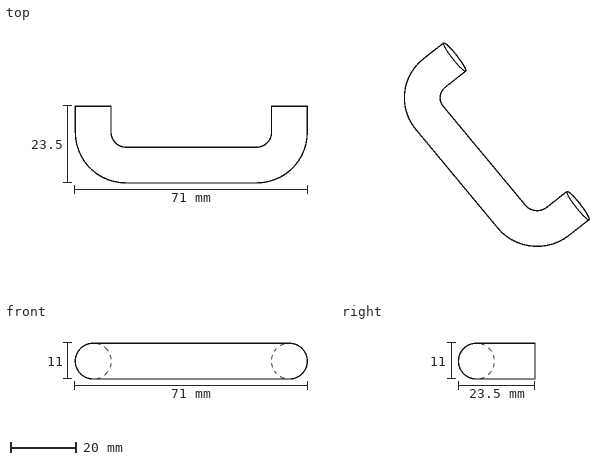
import cadquery as cq
import math

overall_length = 71.0
rod_diameter = 11.0
overall_depth = 23.5
bend_radius = 10.0

rod_radius = rod_diameter / 2
leg_x = overall_length / 2 - rod_radius
grip_end_x = leg_x - bend_radius
grip_y = rod_radius - overall_depth
bend_start_y = grip_y + bend_radius
diagonal_offset = bend_radius * math.cos(math.radians(45))


def make_handle():
    """Round rod bent into a U, with both legs ending on the plane Y = 0."""
    centreline = (
        cq.Workplane("XY")
        .moveTo(-leg_x, 0)
        .lineTo(-leg_x, bend_start_y)
        .threePointArc(
            (-grip_end_x - diagonal_offset, bend_start_y - diagonal_offset),
            (-grip_end_x, grip_y),
        )
        .lineTo(grip_end_x, grip_y)
        .threePointArc(
            (grip_end_x + diagonal_offset, bend_start_y - diagonal_offset),
            (leg_x, bend_start_y),
        )
        .lineTo(leg_x, 0)
    )
    return cq.Workplane("XZ", origin=(-leg_x, 0, 0)).circle(rod_radius).sweep(centreline)


handle = make_handle()

result = cq.Compound.makeCompound([handle.val()])